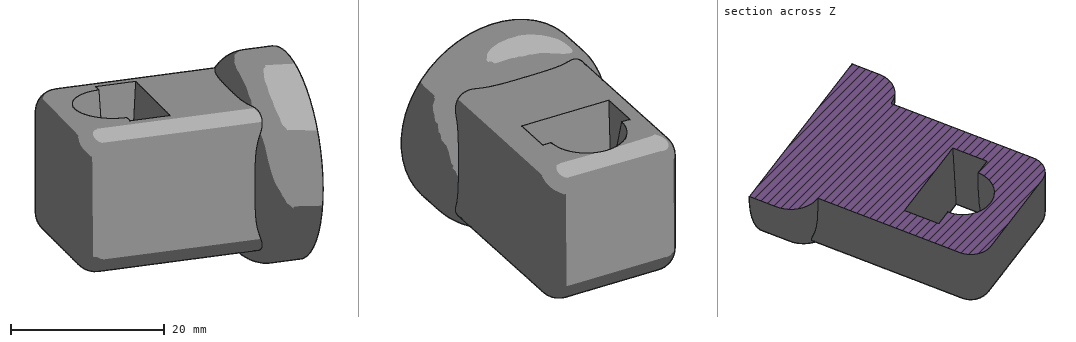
import cadquery as cq
import math

total_length = 32.0
cap_diameter = 28.0
cap_thickness = 8.0
cap_rounding = cap_thickness / 2
block_width = 20.0
block_rounding = 3.0

slot_width = 13.05
slot_length_top = 5.55
slot_length_bottom = 4.5
hole_center_from_tip = 8.0
hole_mouth_radius = 5.28
hole_waist_radius = 4.03
cutter_overshoot = 0.32

half_width = block_width / 2
hole_center_y = hole_center_from_tip - total_length


def make_cap():
    """Disc with its -Y rim rounded."""
    disc = cq.Workplane("XZ").circle(cap_diameter / 2).extrude(cap_thickness)
    return disc.faces("<Y").edges().fillet(cap_rounding)


def make_block():
    """Square block, rounded everywhere except where it joins the cap."""
    block_start = cap_thickness / 2
    block = (
        cq.Workplane("XZ", origin=(0, -block_start, 0))
        .rect(block_width, block_width)
        .extrude(total_length - block_start)
    )
    return block.edges("|Y or <Y").fillet(block_rounding)


def make_slot():
    """Through slot whose +Y wall leans outward toward the top."""
    return (
        cq.Workplane("YZ")
        .moveTo(hole_center_y, -half_width)
        .lineTo(hole_center_y + slot_length_bottom, -half_width)
        .lineTo(hole_center_y + slot_length_top, half_width)
        .lineTo(hole_center_y, half_width)
        .close()
        .extrude(slot_width / 2, both=True)
    )


def make_half_hole():
    """Hourglass-shaped through hole, kept only on the -Y side of its axis."""
    half_turn = 180
    flare = hole_mouth_radius - hole_waist_radius
    wall_arc_radius = (half_width**2 + flare**2) / (2 * flare)
    end_height = half_width + cutter_overshoot
    end_flare = wall_arc_radius - math.sqrt(wall_arc_radius**2 - end_height**2)
    end_radius = hole_waist_radius + end_flare
    return (
        cq.Workplane("XZ", origin=(0, hole_center_y, 0))
        .moveTo(0, -end_height)
        .lineTo(end_radius, -end_height)
        .threePointArc((hole_waist_radius, 0), (end_radius, end_height))
        .lineTo(0, end_height)
        .close()
        .revolve(half_turn, (0, 0, 0), (0, -1, 0))
    )


result = make_cap().union(make_block()).cut(make_slot()).cut(make_half_hole())